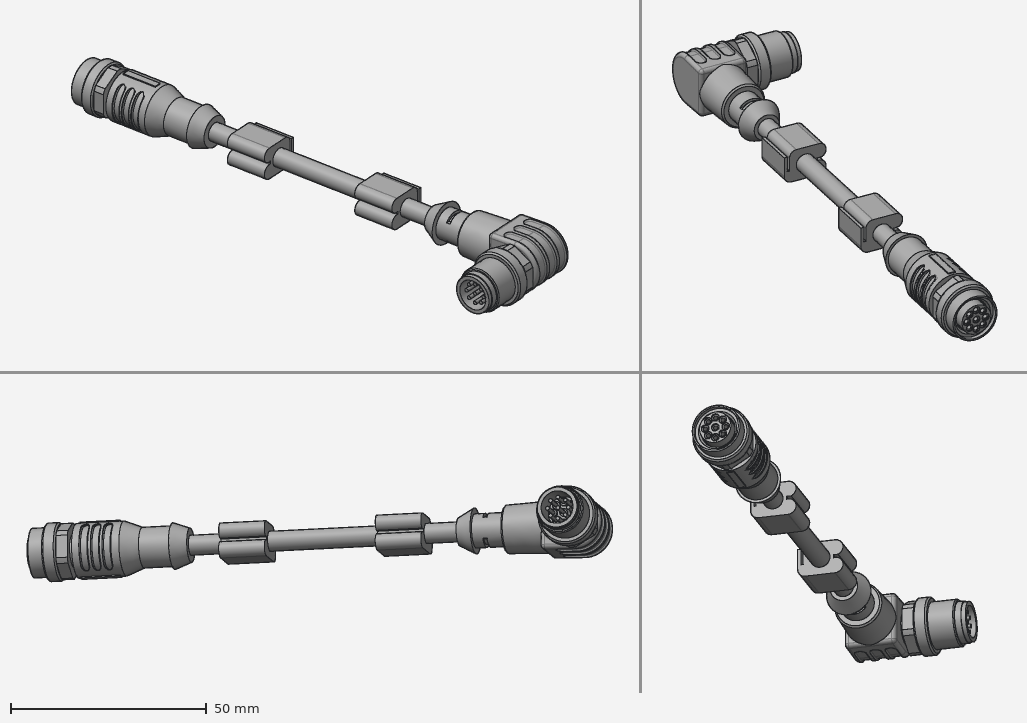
import cadquery as cq
import math

TOTAL_LENGTH = 152.1
TOTAL_WIDTH = 32.0
RING_DIA = 15.0
PLUG_X = TOTAL_LENGTH - RING_DIA / 2

NUT_DIA = 12.8
RING_LENGTH = 3.7
RING_CHAMFER = 0.5
HEX_LENGTH = 3.0
HEX_FLATS = 13.2
HEX_TURN = 30
HEX_ROUND_DIA = 14.5
NECK_DIA = 8.5

CONTACT_CIRCLE_RADIUS = 2.7
OUTER_CONTACTS = 8
PIN_DIA = 1.0
PIN_BASE_DIA = 2.0
PIN_BASE_LENGTH = 0.8
HOLE_DIA = 1.15
HOLE_DEPTH = 3.0
HOLE_MOUTH_DIA = 2.0
HOLE_MOUTH_DEPTH = 0.5

SOCKET_MOUTH_X = 0.8
SOCKET_RING_X = 4.5
SOCKET_MOUTH_DIA = 11.9
SOCKET_MOUTH_DEPTH = 1.2
SOCKET_BORE_DIA = 9.0
SOCKET_BORE_DEPTH = 3.8
BORE_LEAD_DIA = 10.2
INSERT_DIA = 8.4

GRIP_X = 12.5
GRIP_DIA = 14.1
GRIP_END_X = 25.0
BOOT_DIA = 10.5
BOOT_X = 29.7
FLARE_X = 37.7
FLARE_DIA = 12.0
FLARE_END_DIA = 8.8
FLARE_END_X = 42.1
RIB_X = 13.2
RIB_LENGTH = 10.5
RIB_WIDTH = 2.0
RIB_HEIGHT = 14.6
SLOT_FIRST_X = 15.5
SLOT_PITCH = 3.0
SLOT_COUNT = 3
SLOT_WIDTH = 2.3
SLOT_HEIGHT = 12.2
SLOT_DEPTH = 0.6
SLOT_CHAMFER = 0.3

CABLE_DIA = 5.2
CLIP_STARTS = (51.0, 92.2)
CLIP_LENGTH = 12.0
CLIP_HALF_WIDTH = 6.1
CLIP_HALF_HEIGHT = 4.5
CLIP_FLAT_FRONT_Y = -4.0
CLIP_FLAT_BACK_Y = 2.6
CLIP_FOOT_RADIUS = 2.1
CLIP_MOUTH_TOP = 0.5
CLIP_MOUTH_INNER_Y = -3.5
CLIP_SHOULDER_Y = 4.5
CLIP_LIP_Y = 5.2
CLIP_LIP_Z = 3.0
CLIP_GROOVE_Z = -1.2

BEAD_X = 112.9
BEAD_END_X = 117.1
BEAD_SMALL_DIA = 7.3
BEAD_DIA = 11.9
STEM_DIA = 8.8
NOTCH_X = 119.9
NOTCH_WIDTH = 1.0
NOTCH_END_Z = 2.7
NOTCH_FLOOR_DIA = 7.3
COLLAR_X = 125.2
COLLAR_DIA = 12.5
COLLAR_CHAMFER = 0.5
COLLAR_END_DIA = 13.5

HOUSING_X = 135.8
HOUSING_RADIUS = 7.1
HOUSING_HALF_WIDTH = 6.8
HOUSING_TAPER = math.radians(2)
HOUSING_FILLET = 1.0
FINGER_DEPTH = 0.5
FINGER_FILLET = 0.3
FINGER_X = 139.3
FINGER_WIDTH = 3.0
FINGER_PITCH = 4.1

PLUG_HEX_START = 7.9
PLUG_RING_START = PLUG_HEX_START + HEX_LENGTH
PLUG_RING_END = PLUG_RING_START + RING_LENGTH
PLUG_SLEEVE_DIA = 12.3
PLUG_SLEEVE_END = 21.6
PLUG_SLEEVE_CHAMFER = 0.3
PLUG_STEP = 23.3
PLUG_END = TOTAL_WIDTH - RING_DIA / 2
PLUG_SPIGOT_DIA = 11.0
PLUG_TIP_DIA = 10.5
PLUG_BORE_DIA = 8.4
PLUG_BORE_DEPTH = 7.6
PIN_SETBACK = 0.9


def rod(start, length, dia):
    """Cylinder along X from the given start."""
    return cq.Workplane("YZ", origin=(start, 0, 0)).circle(dia / 2).extrude(length)


def cone(start, end, start_dia, end_dia):
    """Truncated cone along X."""
    profile = [(start, 0), (start, start_dia / 2), (end, end_dia / 2), (end, 0)]
    return cq.Workplane("XY").polyline(profile).close().revolve(360, (0, 0, 0), (1, 0, 0))


def rounded_hex(start):
    """Nut hexagon with two flats facing Y and its corners turned to a cylinder."""
    hexagon = (
        cq.Workplane("YZ", origin=(start, 0, 0))
        .transformed(rotate=(0, 0, HEX_TURN))
        .polygon(6, HEX_FLATS / math.cos(math.radians(HEX_TURN)))
        .extrude(HEX_LENGTH)
    )
    return hexagon.intersect(rod(start, HEX_LENGTH, HEX_ROUND_DIA))


def nut_ring(start):
    """Wide ring of a coupling nut with both rims chamfered."""
    return rod(start, RING_LENGTH, RING_DIA).edges().chamfer(RING_CHAMFER)


def contacts(start, length, dia):
    """One central contact and a circle of contacts around it, along X."""
    centre = rod(start, length, dia)
    outer = (
        cq.Workplane("YZ", origin=(start, 0, 0))
        .polarArray(CONTACT_CIRCLE_RADIUS, 0, 360, OUTER_CONTACTS)
        .circle(dia / 2)
        .extrude(length)
    )
    return centre.union(outer)


def socket_nut():
    hex_x = SOCKET_RING_X + RING_LENGTH
    lead_x = SOCKET_MOUTH_X + SOCKET_MOUTH_DEPTH
    lead_end_x = lead_x + (BORE_LEAD_DIA - SOCKET_BORE_DIA) / 2
    bore_end_x = SOCKET_MOUTH_X + SOCKET_BORE_DEPTH
    insert = (
        rod(0, bore_end_x, INSERT_DIA)
        .cut(contacts(0, HOLE_DEPTH, HOLE_DIA))
        .cut(contacts(0, HOLE_MOUTH_DEPTH, HOLE_MOUTH_DIA))
    )
    return (
        rod(SOCKET_MOUTH_X, hex_x - SOCKET_MOUTH_X, NUT_DIA)
        .union(nut_ring(SOCKET_RING_X))
        .union(rounded_hex(hex_x))
        .cut(rod(SOCKET_MOUTH_X, SOCKET_MOUTH_DEPTH, SOCKET_MOUTH_DIA))
        .cut(cone(lead_x, lead_end_x, BORE_LEAD_DIA, SOCKET_BORE_DIA))
        .cut(rod(lead_x, bore_end_x - lead_x, SOCKET_BORE_DIA))
        .union(insert)
    )


def grip_slot(x):
    """Cutter for one upright finger slot on the -Y side, with a chamfered floor edge."""
    floor_radius = GRIP_DIA / 2 - SLOT_DEPTH
    return (
        cq.Workplane("XZ")
        .center(x, 0)
        .slot2D(SLOT_HEIGHT, SLOT_WIDTH, 90)
        .extrude(RING_DIA)
        .cut(rod(GRIP_X, GRIP_END_X - GRIP_X, 2 * floor_radius))
        .faces(cq.selectors.NearestToPointSelector((x, -floor_radius, 0)))
        .edges()
        .chamfer(SLOT_CHAMFER)
    )


def socket_grip():
    grip_length = GRIP_END_X - GRIP_X
    neck_x = SOCKET_RING_X + RING_LENGTH
    neck = rod(neck_x, GRIP_END_X - neck_x, NECK_DIA)
    grip = rod(GRIP_X, grip_length, GRIP_DIA)
    for i in range(SLOT_COUNT):
        slot = grip_slot(SLOT_FIRST_X + i * SLOT_PITCH)
        grip = grip.cut(slot).cut(slot.mirror("XZ"))
    rib = cq.Workplane("XY").box(RIB_LENGTH, RIB_WIDTH, RIB_HEIGHT)
    return (
        grip.union(rib.translate((RIB_X + RIB_LENGTH / 2, 0, 0)))
        .union(neck)
        .union(cone(GRIP_END_X, BOOT_X, GRIP_DIA, BOOT_DIA))
        .union(rod(BOOT_X, FLARE_X - BOOT_X, BOOT_DIA))
        .union(cone(FLARE_X, FLARE_END_X, FLARE_DIA, FLARE_END_DIA))
    )


def clip(start):
    """Cable clip: rounded jaws with an open mouth on -Y and a lipped back on +Y."""
    width = CLIP_HALF_WIDTH
    height = CLIP_HALF_HEIGHT
    jaw_radius = width + CLIP_FLAT_FRONT_Y
    jaw_z = height - jaw_radius
    shoulder_radius = CLIP_SHOULDER_Y - CLIP_FLAT_BACK_Y
    foot_y = width - CLIP_FOOT_RADIUS
    foot_z = CLIP_FOOT_RADIUS - height
    jaw_end_y = CLIP_FLAT_FRONT_Y - math.sqrt(jaw_radius**2 - (jaw_z - CLIP_MOUTH_TOP) ** 2)
    return (
        cq.Workplane("YZ", origin=(start, 0, 0))
        .moveTo(CLIP_FLAT_BACK_Y, height)
        .lineTo(CLIP_FLAT_FRONT_Y, height)
        .threePointArc((-width, jaw_z), (jaw_end_y, CLIP_MOUTH_TOP))
        .lineTo(CLIP_MOUTH_INNER_Y, CLIP_MOUTH_TOP)
        .lineTo(CLIP_MOUTH_INNER_Y, foot_z + CLIP_FOOT_RADIUS)
        .lineTo(-foot_y, foot_z + CLIP_FOOT_RADIUS)
        .threePointArc((-width, foot_z), (-foot_y, -height))
        .lineTo(foot_y, -height)
        .radiusArc((width, foot_z), -CLIP_FOOT_RADIUS)
        .lineTo(width, CLIP_LIP_Z)
        .lineTo(CLIP_LIP_Y, CLIP_LIP_Z)
        .lineTo(CLIP_LIP_Y, CLIP_GROOVE_Z)
        .lineTo(CLIP_SHOULDER_Y, CLIP_GROOVE_Z)
        .lineTo(CLIP_SHOULDER_Y, height - shoulder_radius)
        .radiusArc((CLIP_FLAT_BACK_Y, height), -shoulder_radius)
        .close()
        .extrude(CLIP_LENGTH)
    )


def plug_boot():
    stem = rod(BEAD_END_X, COLLAR_X - BEAD_END_X, STEM_DIA)
    gap = cq.Workplane("XY").box(NOTCH_WIDTH, STEM_DIA, 2 * NOTCH_END_Z)
    notches = (
        rod(NOTCH_X, NOTCH_WIDTH, STEM_DIA)
        .cut(rod(NOTCH_X, NOTCH_WIDTH, NOTCH_FLOOR_DIA))
        .cut(gap.translate((NOTCH_X + NOTCH_WIDTH / 2, 0, 0)))
    )
    collar = cone(COLLAR_X, HOUSING_X + HOUSING_FILLET, COLLAR_DIA, COLLAR_END_DIA)
    return (
        stem.cut(notches)
        .union(cone(BEAD_X, BEAD_END_X, BEAD_SMALL_DIA, BEAD_DIA))
        .union(collar.faces("<X").edges().chamfer(COLLAR_CHAMFER))
    )


def housing_block(inset):
    """Block across Y whose tapered sides run into a round end, drawn in by the given inset."""
    radius = HOUSING_RADIUS - inset
    end_x = PLUG_X - radius * math.sin(HOUSING_TAPER)
    end_z = radius * math.cos(HOUSING_TAPER)
    front_z = end_z - (end_x - HOUSING_X) * math.tan(HOUSING_TAPER)
    return (
        cq.Workplane("XZ")
        .moveTo(HOUSING_X, -front_z)
        .lineTo(end_x, -end_z)
        .threePointArc((PLUG_X + radius, 0), (end_x, end_z))
        .lineTo(HOUSING_X, front_z)
        .close()
        .extrude(HOUSING_HALF_WIDTH, both=True)
    )


def finger_groove(y):
    """Cutter for one groove wrapping the round end, with a rounded floor edge."""
    length = 2 * (PLUG_X - FINGER_X) + RING_DIA
    floor_radius = HOUSING_RADIUS - FINGER_DEPTH
    return (
        cq.Workplane("XY")
        .center(FINGER_X + length / 2, y)
        .slot2D(length, FINGER_WIDTH)
        .extrude(RING_DIA, both=True)
        .cut(housing_block(FINGER_DEPTH))
        .faces(cq.selectors.NearestToPointSelector((PLUG_X + floor_radius, y, 0)))
        .edges()
        .fillet(FINGER_FILLET)
    )


def plug_housing():
    block = housing_block(0).faces("<Y or >Y or <X").edges().fillet(HOUSING_FILLET)
    for i in (-1, 0, 1):
        block = block.cut(finger_groove(i * FINGER_PITCH))
    return block


def plug_nut():
    """Plug coupling built along X from the cable axis, then turned to face -Y."""
    bore_floor = PLUG_END - PLUG_BORE_DEPTH
    pin_length = PLUG_BORE_DEPTH - PIN_SETBACK
    sleeve = rod(PLUG_RING_END, PLUG_SLEEVE_END - PLUG_RING_END, PLUG_SLEEVE_DIA)
    nut = (
        rod(0, PLUG_RING_START, NECK_DIA)
        .union(rounded_hex(PLUG_HEX_START))
        .union(nut_ring(PLUG_RING_START))
        .union(sleeve.faces(">X").edges().chamfer(PLUG_SLEEVE_CHAMFER))
        .union(rod(PLUG_SLEEVE_END, PLUG_STEP - PLUG_SLEEVE_END, PLUG_SPIGOT_DIA))
        .union(rod(PLUG_STEP, PLUG_END - PLUG_STEP, PLUG_TIP_DIA))
        .cut(rod(bore_floor, PLUG_BORE_DEPTH, PLUG_BORE_DIA))
        .union(contacts(bore_floor, pin_length, PIN_DIA))
        .union(contacts(bore_floor, PIN_BASE_LENGTH, PIN_BASE_DIA))
    )
    return nut.rotate((0, 0, 0), (0, 0, 1), -90).translate((PLUG_X, 0, 0))


result = rod(GRIP_END_X, HOUSING_X - GRIP_END_X, CABLE_DIA)
for clip_start in CLIP_STARTS:
    result = result.union(clip(clip_start))
for section in (socket_nut(), socket_grip(), plug_boot(), plug_housing(), plug_nut()):
    result = result.union(section)